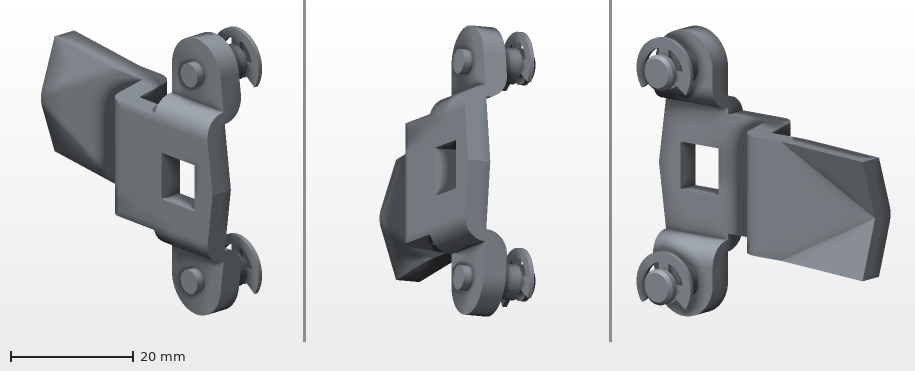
import cadquery as cq
import math

length = 53.5
thickness = 4.0
half_width = 10.0
foot_corner_x = 31.0
step_corner_x = 25.05
step_height = 10.0
arm_back = step_height + thickness
max_depth = 17.3

fold_end_x = 19.85
fold_slope = math.atan2(half_width, fold_end_x)
wing_reach = half_width * math.cos(fold_slope)
fold_angle = math.atan2(max_depth - arm_back, wing_reach)

ear_x = 45.0
ear_z = 18.0
overall_height = 48.0
ear_top = overall_height / 2
ear_radius = ear_top - ear_z
front_bend_z = 9.0
back_bend_z = 15.05
square_side = 8.0

pin_radius = 3.0
pin_end = 15.2
pin_chamfer = 0.55
rivet_radius = 2.05
rivet_front = 2.4
groove_radius = 2.0
groove_start = 12.45
groove_end = 13.65

clip_radius = 5.65
clip_front = 12.6
clip_thickness = 0.75
clip_tip_drop = 3.3
window_radius = 4.0
window_floor = 0.45
tab_half_width = 0.95


def prism_y(sketch_points, y_start, y_end):
    """Extrude an XZ polygon between two Y positions."""
    plane = cq.Workplane("XZ", origin=(0, y_start, 0))
    return plane.polyline(sketch_points).close().extrude(y_start - y_end)


def cylinder_y(x, z, radius, y_start, y_end):
    plane = cq.Workplane("XZ", origin=(x, y_start, z))
    return plane.circle(radius).extrude(y_start - y_end)


def make_strip():
    """Cranked strip with its web tangent to both outside bends."""
    run = foot_corner_x - step_corner_x
    drop = step_height - thickness
    lean = math.atan2(run, drop) - math.asin(thickness / math.hypot(run, drop))

    def bend_point(angle):
        return thickness * math.cos(angle), thickness * math.sin(angle)

    web_x, web_y = bend_point(lean)
    upper_mid_x, upper_mid_y = bend_point((lean + math.pi / 2) / 2)
    return (
        cq.Workplane("XY")
        .moveTo(0, step_height)
        .lineTo(step_corner_x, step_height)
        .lineTo(foot_corner_x - web_x, thickness - web_y)
        .threePointArc((foot_corner_x - upper_mid_x, thickness - upper_mid_y), (foot_corner_x, 0))
        .lineTo(length, 0)
        .lineTo(length, thickness)
        .lineTo(foot_corner_x, thickness)
        .lineTo(step_corner_x + web_x, step_height + web_y)
        .threePointArc(
            (step_corner_x + upper_mid_x, step_height + upper_mid_y),
            (step_corner_x, arm_back),
        )
        .lineTo(0, arm_back)
        .close()
        .extrude(half_width, both=True)
    )


def make_wing():
    """Upper wing, bent backwards about its fold, trimmed to the strip edges."""
    slab_length = 2 * half_width
    fold_plane = cq.Plane(
        origin=(0, arm_back, 0),
        xDir=(-math.sin(fold_slope), 0, math.cos(fold_slope)),
        normal=(math.cos(fold_slope), 0, math.sin(fold_slope)),
    )
    sine, cosine = math.sin(fold_angle), math.cos(fold_angle)
    far_back = (slab_length * cosine, -slab_length * sine)
    offset = (thickness * sine, thickness * cosine)
    bend_middle = (thickness * math.sin(fold_angle / 2), thickness * math.cos(fold_angle / 2))
    wing = (
        cq.Workplane(fold_plane)
        .lineTo(0, thickness)
        .threePointArc(bend_middle, offset)
        .lineTo(far_back[0] + offset[0], far_back[1] + offset[1])
        .lineTo(*far_back)
        .close()
        .extrude(length, both=True)
    )
    trim = prism_y([(0, 0), (fold_end_x, half_width), (0, half_width)], 0, 2 * max_depth)
    return wing.intersect(trim)


def make_joggle():
    """Constant YZ section of the plate and both offset ears."""
    bend = thickness * math.sqrt(0.5)
    ear_back = 2 * thickness
    half = (
        cq.Workplane("YZ")
        .lineTo(0, front_bend_z)
        .threePointArc((thickness - bend, front_bend_z + bend), (thickness, front_bend_z + thickness))
        .lineTo(thickness, ear_top)
        .lineTo(ear_back, ear_top)
        .lineTo(ear_back, back_bend_z)
        .threePointArc((thickness + bend, back_bend_z - bend), (thickness, back_bend_z - thickness))
        .lineTo(thickness, 0)
        .close()
        .extrude(length)
    )
    return half.union(half.mirror("XY"))


def make_head_outline():
    """Front outline with round ears and edges tapering to a point."""
    tip_run = length - ear_x
    tip_distance = math.hypot(tip_run, ear_z)
    tangent_angle = math.acos(ear_radius / tip_distance) - math.atan2(ear_z, tip_run)
    tangent_x = ear_x + ear_radius * math.cos(tangent_angle)
    tangent_z = ear_z + ear_radius * math.sin(tangent_angle)
    ear_left = ear_x - ear_radius
    return (
        cq.Workplane("XZ")
        .moveTo(length, 0)
        .lineTo(tangent_x, tangent_z)
        .threePointArc((ear_x, ear_top), (ear_left, ear_z))
        .lineTo(ear_left, -ear_z)
        .threePointArc((ear_x, -ear_top), (tangent_x, -tangent_z))
        .close()
        .extrude(-max_depth)
    )


def make_pin(z):
    """Riveted pin with a chamfered end and a clip groove."""
    rivet = cylinder_y(ear_x, z, rivet_radius, rivet_front, 2 * thickness)
    shank = cylinder_y(ear_x, z, pin_radius, 2 * thickness, pin_end).faces(">Y").chamfer(pin_chamfer)
    groove = cylinder_y(ear_x, z, 2 * pin_radius, groove_start, groove_end)
    groove = groove.cut(cylinder_y(ear_x, z, groove_radius, groove_start, groove_end))
    return rivet.union(shank.cut(groove))


def make_clip(z):
    """Open ring with a radial mouth facing down and two inner windows."""
    clip_back = clip_front + clip_thickness
    clip = cylinder_y(ear_x, z, clip_radius, clip_front, clip_back)
    clip = clip.cut(cylinder_y(ear_x, z, groove_radius, clip_front, clip_back))

    tip_x = math.sqrt(clip_radius**2 - clip_tip_drop**2)
    mouth_x, mouth_z = 2 * tip_x, z - 2 * clip_tip_drop
    mouth = [(ear_x, z), (ear_x - mouth_x, mouth_z), (ear_x + mouth_x, mouth_z)]
    clip = clip.cut(prism_y(mouth, clip_front, clip_back))

    window_disc = cylinder_y(ear_x, z, window_radius, clip_front, clip_back)
    for side in (-1, 1):
        inner_x = ear_x + side * tab_half_width
        outer_x = ear_x + side * clip_radius
        bottom, top = z + window_floor, z + clip_radius
        quadrant = [(inner_x, bottom), (outer_x, bottom), (outer_x, top), (inner_x, top)]
        clip = clip.cut(window_disc.intersect(prism_y(quadrant, clip_front, clip_back)))
    return clip


ear_left_x = ear_x - ear_radius
joggle = make_joggle()
outline = make_head_outline()
head = joggle.intersect(outline)

strip = make_strip()
plate_zone = cq.Workplane("XY").box(length, thickness, 2 * half_width, centered=(False, False, True))
rounded_plate = strip.intersect(plate_zone).intersect(joggle)
tapered_end = cq.Workplane("XY").box(
    length - ear_left_x, max_depth, 2 * ear_top, centered=(False, False, True)
).translate((ear_left_x, 0, 0)).cut(outline)
body = strip.cut(plate_zone).union(rounded_plate).cut(tapered_end)

upper_corner = prism_y([(0, 0), (fold_end_x, half_width), (0, half_width)], 0, max_depth)
wing = make_wing()
for corner, folded in ((upper_corner, wing), (upper_corner.mirror("XY"), wing.mirror("XY"))):
    body = body.cut(corner).union(folded)

body = body.union(head)
square_hole = cq.Workplane("XY").box(square_side, 2 * thickness, square_side).translate((ear_x, thickness, 0))
body = body.cut(square_hole)

for z in (-ear_z, ear_z):
    body = body.union(make_pin(z)).union(make_clip(z))

result = body